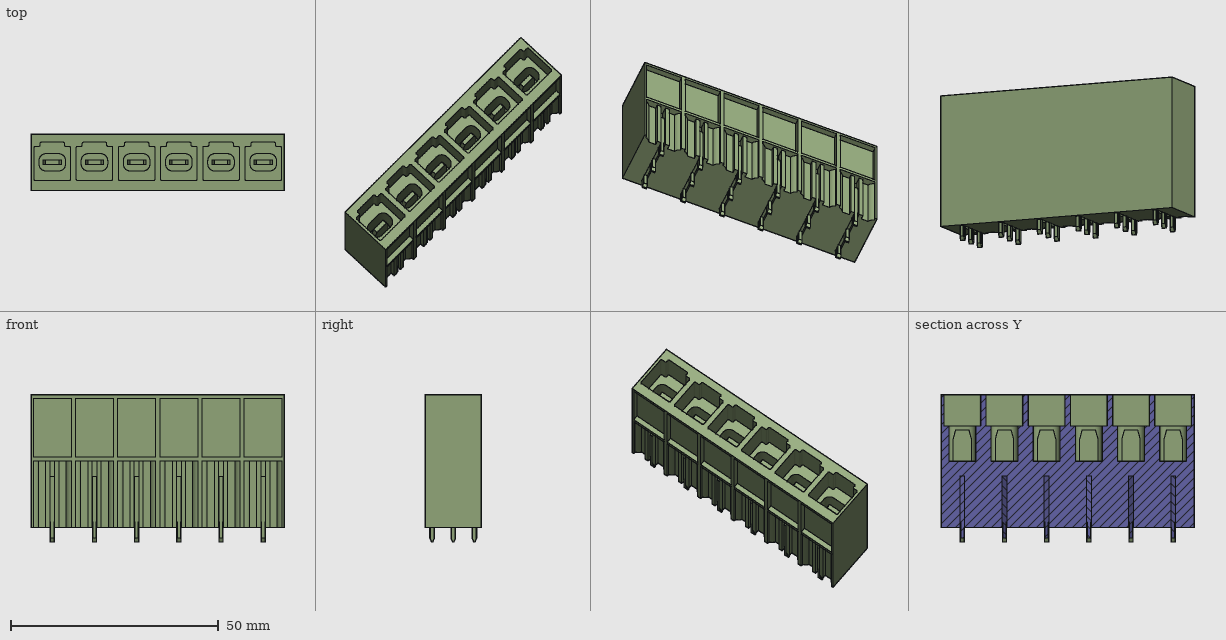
import cadquery as cq

POSITIONS = 6
PITCH = 10.16
LENGTH = POSITIONS * PITCH
WIDTH = 13.6
HEIGHT = 32.0
FRONT = -WIDTH / 2
BACK = WIDTH / 2
CENTERS = [(i - (POSITIONS - 1) / 2) * PITCH for i in range(POSITIONS)]

PANEL_WIDTH = 9.16
WINDOW_BOTTOM = 17.0
TOP_RAIL = 0.9
WINDOW_TOP = HEIGHT - TOP_RAIL
WINDOW_DEPTH = 1.3

RECESS_TOP = 16.0
RECESS_DEPTH = 1.5
COLUMN_RADIUS = 2.0
COLUMN_CENTER_DEPTH = 2.5

RIB_SPREAD = 3.16
RIB_SETBACK = 0.5
CHANNEL_WIDTH = 1.16

POCKET_WIDTH = 8.8
POCKET_WALL = 2.45
POCKET_FRONT = FRONT + POCKET_WALL
POCKET_SHOULDER = 3.84
POCKET_DEPTH = 7.5
POCKET_FLOOR = HEIGHT - POCKET_DEPTH
KEYWAY_WIDTH = 5.9
KEYWAY_DEPTH = 1.0
POCKET_FILLET = 0.3

WELL_LENGTH = 6.4
WELL_WIDTH = 4.2
WELL_FILLET = 1.7
WELL_FLOOR = RECESS_TOP

BLADE_LENGTH = 4.4
BLADE_THICKNESS = 1.1
BLADE_TOP_SETBACK = 1.0
BLADE_TOP = POCKET_FLOOR - BLADE_TOP_SETBACK
BLADE_TAPER = 0.6
BLADE_TAPER_HEIGHT = 2.2
LEG_SPACING = 5.08
LEG_WIDTH = 1.05
LEG_DEPTH = 1.2
LEG_TIP = -3.5
LEG_EDGE_CHAMFER = 0.15
TIP_HEIGHT = 1.0
TIP_TAPER = 0.45
BAR_BOTTOM = 1.3
BAR_TOP = 12.3
BAR_LENGTH = 2 * LEG_SPACING + LEG_DEPTH


def block(x_size, y_min, y_max, z_min, z_max):
    """Box centred on X that spans the given Y and Z ranges."""
    box = cq.Workplane("XY").box(x_size, y_max - y_min, z_max - z_min, centered=False)
    return box.translate((-x_size / 2, y_min, z_min))


def front_recess():
    """Space of one lower recess: rounded column sides, and two ribs with a leg channel between them."""
    column_x = PITCH / 2
    column_y = FRONT + COLUMN_CENTER_DEPTH
    floor_y = FRONT + RECESS_DEPTH
    channel_back = -LEG_SPACING + LEG_DEPTH / 2

    space = block(PANEL_WIDTH, FRONT, floor_y, 0, RECESS_TOP)
    columns = (
        cq.Workplane("XY")
        .pushPoints([(-column_x, column_y), (column_x, column_y)])
        .circle(COLUMN_RADIUS)
        .extrude(RECESS_TOP)
    )
    ribs = block(RIB_SPREAD, FRONT + RIB_SETBACK, floor_y, 0, RECESS_TOP)
    channel = block(CHANNEL_WIDTH, FRONT, channel_back, 0, RECESS_TOP)
    return space.cut(columns).cut(ribs).union(channel)


def plug_pocket():
    """Space of one pocket with its keyway at the back and the oval well in its floor."""
    keyway_back = POCKET_SHOULDER + KEYWAY_DEPTH
    pocket = block(POCKET_WIDTH, POCKET_FRONT, POCKET_SHOULDER, POCKET_FLOOR, HEIGHT)
    keyway = block(KEYWAY_WIDTH, 0, keyway_back, POCKET_FLOOR, HEIGHT)
    pocket = pocket.union(keyway).edges("|Z").fillet(POCKET_FILLET)
    well = block(WELL_LENGTH, -WELL_WIDTH / 2, WELL_WIDTH / 2, WELL_FLOOR, POCKET_FLOOR)
    return pocket.union(well.edges("|Z").fillet(WELL_FILLET))


def contact_slot():
    """Slot open at the bottom for the bar and legs, with the blade passing up into the well."""
    bar_slot = block(LEG_WIDTH, -BAR_LENGTH / 2, BAR_LENGTH / 2, 0, BAR_TOP)
    blade_slot = block(BLADE_LENGTH, -BLADE_THICKNESS / 2, BLADE_THICKNESS / 2, BAR_TOP, WELL_FLOOR)
    return bar_slot.union(blade_slot)


def make_housing():
    """Housing block with one set of spaces removed at every position."""
    housing = block(LENGTH, FRONT, BACK, 0, HEIGHT)
    window = block(PANEL_WIDTH, FRONT, FRONT + WINDOW_DEPTH, WINDOW_BOTTOM, WINDOW_TOP)
    for space in (window, front_recess(), plug_pocket(), contact_slot()):
        for x in CENTERS:
            housing = housing.cut(space.translate((x, 0, 0)))
    return housing


def make_leg(y):
    """Leg with chamfered long edges and a tip that tapers in Y."""
    half = LEG_DEPTH / 2
    leg = block(LEG_WIDTH, -half, half, LEG_TIP, BAR_BOTTOM).edges("|Z").chamfer(LEG_EDGE_CHAMFER)
    side = (
        cq.Workplane("YZ")
        .moveTo(-half, BAR_BOTTOM)
        .lineTo(half, BAR_BOTTOM)
        .lineTo(half, LEG_TIP + TIP_HEIGHT)
        .lineTo(half - TIP_TAPER, LEG_TIP)
        .lineTo(-half + TIP_TAPER, LEG_TIP)
        .lineTo(-half, LEG_TIP + TIP_HEIGHT)
        .close()
        .extrude(LEG_WIDTH / 2, both=True)
    )
    return leg.intersect(side).translate((0, y, 0))


def make_contact():
    """Contact centred on X = 0: blade on top of a bar that carries three legs."""
    blade = block(BLADE_LENGTH, -BLADE_THICKNESS / 2, BLADE_THICKNESS / 2, BAR_TOP, BLADE_TOP)
    blade = blade.faces(">Z").edges("|Y").chamfer(BLADE_TAPER_HEIGHT, BLADE_TAPER)
    contact = blade.union(block(LEG_WIDTH, -BAR_LENGTH / 2, BAR_LENGTH / 2, BAR_BOTTOM, BAR_TOP))
    for y in (-LEG_SPACING, 0, LEG_SPACING):
        contact = contact.union(make_leg(y))
    return contact


housing = make_housing()
contact = make_contact()
contacts = [contact.translate((x, 0, 0)) for x in CENTERS]

result = cq.Compound.makeCompound([housing.solids().val(), *[c.solids().val() for c in contacts]])